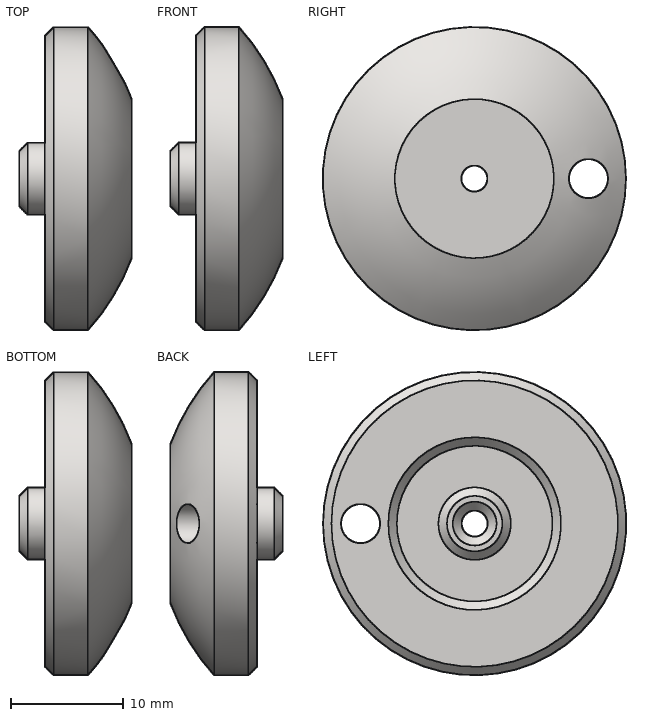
import cadquery as cq
import math

DISC_DIAMETER = 27.0
TOTAL_LENGTH = 10.01
HUB_PROTRUSION = 2.29
DISC_LENGTH = TOTAL_LENGTH - HUB_PROTRUSION
CHAMFER = 0.76

RIM_END = 3.82
DOME_FLAT_DIAMETER = 14.15

RECESS_DIAMETER = 13.84
RECESS_DEPTH = 3.82

HUB_DIAMETER = 6.45
BORE_DIAMETER = 2.29
COUNTERSINK_DIAMETER = 3.9

SIDE_HOLE_DIAMETER = 3.45
SIDE_HOLE_Y = 10.15


def cylinder(diameter, x_start, x_end, y=0.0):
    """Cylinder parallel to X, from x_start to x_end."""
    plane = cq.Workplane("YZ", origin=(x_start, y, 0))
    return plane.circle(diameter / 2).extrude(x_end - x_start)


def cone(start_diameter, end_diameter, x_start, x_end):
    """Truncated cone about the X axis."""
    profile = (
        cq.Workplane("XY")
        .moveTo(x_start, 0)
        .lineTo(x_start, start_diameter / 2)
        .lineTo(x_end, end_diameter / 2)
        .lineTo(x_end, 0)
        .close()
    )
    return profile.revolve(360, (0, 0, 0), (1, 0, 0))


def make_disc():
    """Disc with a chamfered flat face and a domed opposite face."""
    radius = DISC_DIAMETER / 2
    flat_radius = DOME_FLAT_DIAMETER / 2
    centre_x = (DISC_LENGTH**2 + flat_radius**2 - RIM_END**2 - radius**2) / (2 * (DISC_LENGTH - RIM_END))
    sphere_radius = math.hypot(RIM_END - centre_x, radius)
    mid_radius = (radius + flat_radius) / 2
    mid_x = centre_x + math.sqrt(sphere_radius**2 - mid_radius**2)
    profile = (
        cq.Workplane("XY")
        .moveTo(0, 0)
        .lineTo(0, radius - CHAMFER)
        .lineTo(CHAMFER, radius)
        .lineTo(RIM_END, radius)
        .threePointArc((mid_x, mid_radius), (DISC_LENGTH, flat_radius))
        .lineTo(DISC_LENGTH, 0)
        .close()
    )
    return profile.revolve(360, (0, 0, 0), (1, 0, 0))


def make_recess():
    """Round pocket in the flat face, with a chamfered mouth."""
    pocket = cylinder(RECESS_DIAMETER, 0, RECESS_DEPTH)
    mouth = cone(RECESS_DIAMETER + 2 * CHAMFER, RECESS_DIAMETER, 0, CHAMFER)
    return pocket.union(mouth)


def make_hub():
    """Hub standing on the recess floor, chamfered at its free end."""
    return cylinder(HUB_DIAMETER, -HUB_PROTRUSION, RECESS_DEPTH).faces("<X").chamfer(CHAMFER)


def make_bore():
    """Central through bore, countersunk at the hub end."""
    bore = cylinder(BORE_DIAMETER, -HUB_PROTRUSION, DISC_LENGTH)
    countersink_depth = (COUNTERSINK_DIAMETER - BORE_DIAMETER) / 2
    countersink = cone(
        COUNTERSINK_DIAMETER, BORE_DIAMETER, -HUB_PROTRUSION, -HUB_PROTRUSION + countersink_depth
    )
    return bore.union(countersink)


side_hole = cylinder(SIDE_HOLE_DIAMETER, 0, DISC_LENGTH, y=SIDE_HOLE_Y)

result = make_disc().cut(make_recess()).union(make_hub()).cut(make_bore()).cut(side_hole)